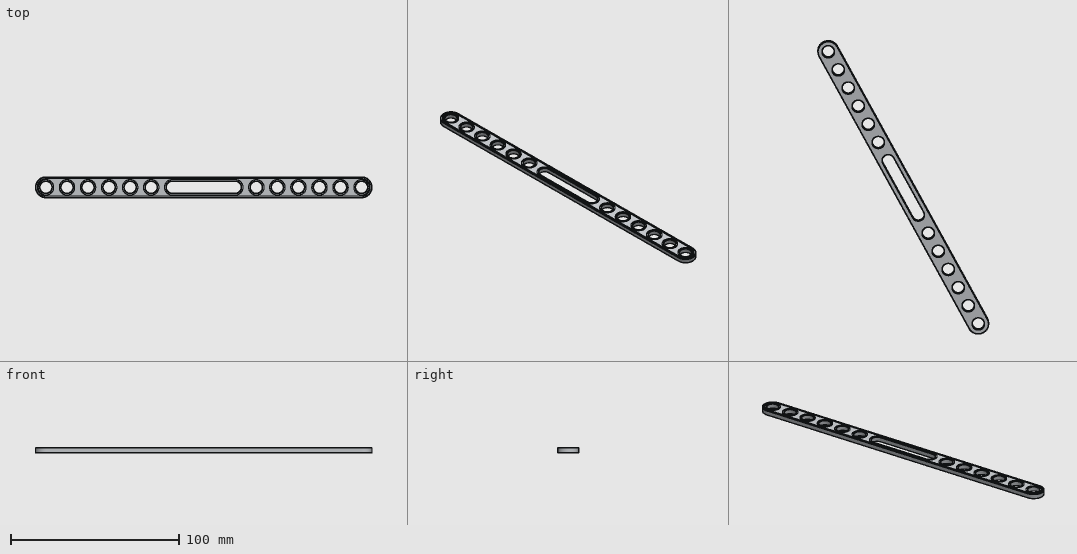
import cadquery as cq

length = 200.0
thickness = 3.2
positions = 16
slot_first = 6
slot_last = 9
hole_diameter = 7.0
rim_diameter = 9.2
pocket_depth = 0.2
edge_chamfer = 0.3

pitch = length / positions
width = pitch
rim_width = (rim_diameter - hole_diameter) / 2
slot_span = (slot_last - slot_first) * pitch


def station_x(index):
    return (index - (positions - 1) / 2) * pitch


slot_x = (station_x(slot_first) + station_x(slot_last)) / 2
hole_points = [(station_x(i), 0) for i in range(positions) if not slot_first <= i <= slot_last]


def opening_columns(diameter):
    """Round columns at the holes and one rounded column at the slot, through the thickness."""
    holes = cq.Workplane("XY").pushPoints(hole_points).circle(diameter / 2).extrude(thickness)
    slot = cq.Workplane("XY").center(slot_x, 0).slot2D(slot_span + diameter, diameter).extrude(thickness)
    return holes.union(slot)


strip = cq.Workplane("XY").slot2D(length, width).extrude(thickness)
strip = strip.cut(opening_columns(hole_diameter))
strip = strip.faces("<Z or >Z").edges().chamfer(edge_chamfer)

pocket = (
    cq.Workplane("XY")
    .workplane(offset=thickness - pocket_depth)
    .slot2D(length - 2 * rim_width, width - 2 * rim_width)
    .extrude(pocket_depth)
    .cut(opening_columns(rim_diameter))
)

result = strip.cut(pocket)